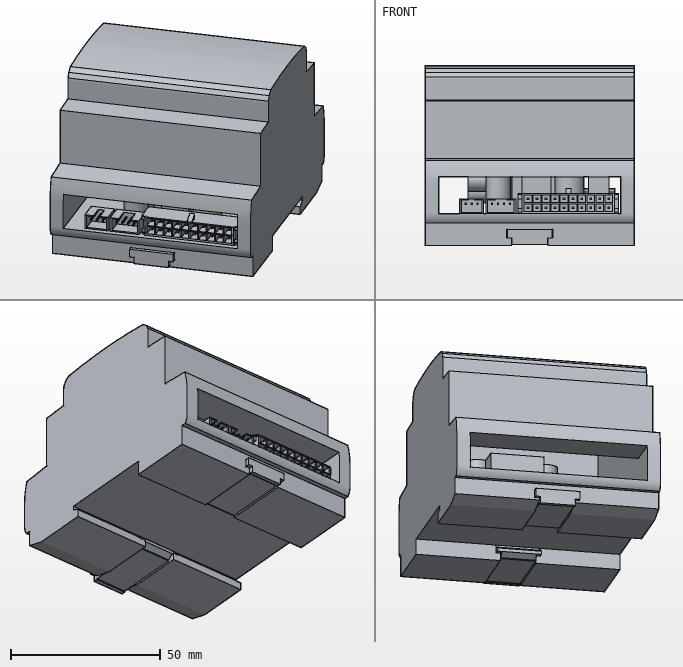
import cadquery as cq
import math

length = 70.1
half_depth = 43.5
height = 60.4

crest_edge = (19.6, 59.4)
shoulder_round_end = (21.6, 58.1)
shoulder_lift = 0.1
shoulder_facet_end = (22.5, 56.5)
top_half = 22.6
shoulder_low = 55.8
upper_step = (48.9, 48.5)
middle_half = 31.75
lower_step = (29.2, 28.45)
bulge_top_half = 42.3
bulge_tangent_top = 20.45
sill = 10.7
bulge_bottom = 7.6
bulge_bottom_half = 42.45
foot_half = 40.8

rail_floor = 5.4
rail_half = 17.4
hook_reach = 14.9
hook_low = 2.8
hook_high = 4.2
foot_chamfer_height = 1.8
foot_chamfer_depth = 6.4

window_half = 30.45
window_top = 23.05
wall = 1.7
roof_gap = 2.6

clip_wide = 15.1
clip_narrow = 12.0
clip_step = 2.6
clip_clearance = 0.1
grip_bottom = 0.35
slide_bottom = 0.7
grip_depth = 1.5
tip_reach = 15.5
tip_chamfer = 0.4
tip_low = 1.05

connector_front = -41.2
pin_connector_depth = 7.6
pin_cavity_depth = 5.65
pin_pitch = 2.0
pin_end_margin = 1.05
pin_connector_top = 15.7
pin_side_wall = 0.6
pin_thin_wall = 0.4
pin_size = 0.4
pin_height = 14.0
pin_inset = 0.2
three_pin_x = -19.5
four_pin_x = -9.7

block_x = 13.0
block_columns = 10
block_rows = 2
block_pitch = 1.5 * pin_pitch
block_width = 33.75
block_depth = 8.7
block_top = 17.4
block_row_center = 14.2
cell_size = 2.6
cell_depth = 6.1
block_pin_size = 0.6
block_pin_inset = 1.3
ear_width = 1.4
ear_bottom = 11.2
ear_top = 17.05
ear_setback = ear_width
ear_low_top = 12.35
ear_high_bottom = 15.7
ear_notch_depth = 3.05
latch_width = 1.7
latch_top = 19.05
latch_run = 3.5

component_top = 34.8
small_can_radius = 4.1
small_cans = [(-10.6, -24.4), (-10.0, -20.0)]
large_can_radius = 4.9
large_can = (13.3, -20.9)
coil_x = 2.3
coil_width = 9.6
coil_front = -21.75
core_width = 18.3
core_front = -19.1
core_back = -8.7

roll_radius = 3.5
roll_left = -20.7
roll_right = -10.4
upper_roll = (-10.4, 21.6)
lower_roll = (-7.0, 17.75)

relay_x = 23.1
relay_width = 7.0
relay_front = -13.9
relay_depth = 8.7
relay_base_width = 10.8
relay_lip_bottom = 18.0
relay_lip_top = 19.05
relay_lip_inset = 0.4
relay_base_inset = 0.9


def box(x_range, y_range, z_range):
    size = [high - low for low, high in (x_range, y_range, z_range)]
    corner = (x_range[0], y_range[0], z_range[0])
    return cq.Workplane("XY").box(*size, centered=False).translate(corner)


def around(center, width):
    return (center - width / 2, center + width / 2)


def arc_middle(tangent_point, end):
    """Middle point of an arc that leaves tangent_point upright and curves inward to end, in (Y, Z)."""
    across = abs(end[0] - tangent_point[0])
    along = end[1] - tangent_point[1]
    radius = (across**2 + along**2) / (2 * across)
    half_angle = math.atan2(abs(along), radius - across) / 2
    y = tangent_point[0] - radius * (1 - math.cos(half_angle))
    z = tangent_point[1] + math.copysign(radius * math.sin(half_angle), along)
    return (y, z)


def crest_middle(side):
    """Middle point of the shallow arc from the crest to the shoulder."""
    y = crest_edge[0] / 2
    z = height - (height - crest_edge[1]) / 4
    return (side * y, z)


def shoulder_middle(side):
    """A point just outside the chord of the rounded shoulder edge."""
    y = (crest_edge[0] + shoulder_round_end[0]) / 2 + shoulder_lift
    z = (crest_edge[1] + shoulder_round_end[1]) / 2 + shoulder_lift
    return (side * y, z)


def mirror_y(point):
    return (-point[0], point[1])


def housing_outline():
    """Closed (Y, Z) outline, counterclockwise from the foot on the +Y side."""
    bulge_high = (half_depth, bulge_tangent_top)
    bulge_low = (half_depth, sill)
    bulge_high_end = (bulge_top_half, lower_step[1])
    bulge_low_end = (bulge_bottom_half, bulge_bottom)
    high_middle = arc_middle(bulge_high, bulge_high_end)
    low_middle = arc_middle(bulge_low, bulge_low_end)
    return (
        cq.Workplane("YZ")
        .moveTo(foot_half - foot_chamfer_depth, 0)
        .lineTo(foot_half, foot_chamfer_height)
        .lineTo(foot_half, bulge_bottom)
        .lineTo(*bulge_low_end)
        .threePointArc(low_middle, bulge_low)
        .lineTo(*bulge_high)
        .threePointArc(high_middle, bulge_high_end)
        .lineTo(middle_half, lower_step[0])
        .lineTo(middle_half, upper_step[1])
        .lineTo(top_half, upper_step[0])
        .lineTo(top_half, shoulder_low)
        .lineTo(*shoulder_facet_end)
        .lineTo(*shoulder_round_end)
        .threePointArc(shoulder_middle(1), crest_edge)
        .threePointArc(crest_middle(1), (0, height))
        .threePointArc(crest_middle(-1), mirror_y(crest_edge))
        .threePointArc(shoulder_middle(-1), mirror_y(shoulder_round_end))
        .lineTo(*mirror_y(shoulder_facet_end))
        .lineTo(-top_half, shoulder_low)
        .lineTo(-top_half, upper_step[0])
        .lineTo(-middle_half, upper_step[1])
        .lineTo(-middle_half, lower_step[0])
        .lineTo(*mirror_y(bulge_high_end))
        .threePointArc(mirror_y(high_middle), mirror_y(bulge_high))
        .lineTo(*mirror_y(bulge_low))
        .threePointArc(mirror_y(low_middle), mirror_y(bulge_low_end))
        .lineTo(-foot_half, bulge_bottom)
        .lineTo(-foot_half, 0)
        .lineTo(-rail_half, 0)
        .lineTo(-rail_half, rail_floor)
        .lineTo(rail_half, rail_floor)
        .lineTo(rail_half, hook_high)
        .lineTo(hook_reach, hook_low)
        .lineTo(hook_reach, 0)
        .close()
    )


def clip_section(clearance, bottom):
    """T-shaped section of a clip, or of its channel, from the given bottom to the rail slot's ceiling."""
    wide = clip_wide + 2 * clearance
    narrow = clip_narrow + 2 * clearance
    y_range = (-half_depth, half_depth)
    head = box(around(0, wide), y_range, (clip_step, rail_floor))
    stem = box(around(0, narrow), y_range, (bottom, rail_floor))
    return head.union(stem)


def build_housing():
    body = housing_outline().extrude(length / 2, both=True)
    inner_x = (-window_half, window_half)
    window = box(inner_x, (-half_depth, half_depth), (sill, window_top))
    middle_y = around(0, 2 * (middle_half - wall))
    middle_room = box(inner_x, middle_y, (sill, upper_step[1] - roof_gap))
    top_y = around(0, 2 * (top_half - wall))
    top_room = box(inner_x, top_y, (sill, shoulder_low))
    body = body.cut(window).cut(middle_room).cut(top_room)
    return body.cut(clip_section(clip_clearance, 0))


def build_clip(side):
    """Rail clip sliding in the foot on the given side (-1 or 1) of the rail."""
    grip_y = foot_half + grip_depth
    profile = (
        cq.Workplane("YZ")
        .moveTo(grip_y, grip_bottom)
        .lineTo(grip_y, rail_floor)
        .lineTo(rail_half, rail_floor)
        .lineTo(rail_half, hook_high)
        .lineTo(tip_reach + tip_chamfer, hook_high)
        .lineTo(tip_reach, hook_high - tip_chamfer)
        .lineTo(tip_reach, clip_step)
        .lineTo(rail_half, tip_low)
        .lineTo(rail_half, slide_bottom)
        .lineTo(foot_half, slide_bottom)
        .lineTo(foot_half, grip_bottom)
        .close()
        .extrude(clip_wide / 2, both=True)
    )
    clip = profile.intersect(clip_section(0, grip_bottom))
    return clip if side > 0 else clip.mirror("XZ")


def build_pin_connector(center_x, pin_count):
    """Open-fronted header with one row of pins and a slot in its top wall."""
    width = pin_count * pin_pitch + 2 * pin_end_margin
    back = connector_front + pin_connector_depth
    cavity_back = connector_front + pin_cavity_depth
    cavity_y = (connector_front, cavity_back)
    cavity_x = around(center_x, width - 2 * pin_side_wall)
    cavity_z = (sill + pin_thin_wall, pin_connector_top - pin_thin_wall)
    slot_x = around(center_x, (pin_count - 2) * pin_pitch)
    slot_z = (pin_height, pin_connector_top)

    body = box(around(center_x, width), (connector_front, back), (sill, pin_connector_top))
    body = body.cut(box(cavity_x, cavity_y, cavity_z)).cut(box(slot_x, cavity_y, slot_z))
    for i in range(pin_count):
        x = center_x + (i - (pin_count - 1) / 2) * pin_pitch
        pin_y = (connector_front + pin_inset, back)
        body = body.union(box(around(x, pin_size), pin_y, around(pin_height, pin_size)))
    return body


def build_block_connector():
    """Two-row connector with a pin in each square cell and set-back ears between bevelled plates."""
    front = connector_front
    back = front + block_depth
    left, right = around(block_x, block_width)
    body = (
        cq.Workplane("XY")
        .moveTo(left, back)
        .lineTo(left, front + ear_width)
        .lineTo(left + ear_width, front)
        .lineTo(right - ear_width, front)
        .lineTo(right, front + ear_width)
        .lineTo(right, back)
        .close()
        .extrude(block_top - sill)
        .translate((0, 0, sill))
    )
    for ear_x in ((left, left + ear_width), (right - ear_width, right)):
        notch_y = (front, front + ear_notch_depth)
        body = body.cut(box(ear_x, notch_y, (ear_low_top, ear_high_bottom)))
        body = body.cut(box(ear_x, (front, front + ear_setback), (ear_bottom, ear_top)))

    cells = [
        (
            block_x + (column - (block_columns - 1) / 2) * block_pitch,
            block_row_center + (row - (block_rows - 1) / 2) * block_pitch,
        )
        for column in range(block_columns)
        for row in range(block_rows)
    ]
    for x, z in cells:
        body = body.cut(box(around(x, cell_size), (front, front + cell_depth), around(z, cell_size)))
    for x, z in cells:
        pin_y = (front + block_pin_inset, back)
        body = body.union(box(around(x, block_pin_size), pin_y, around(z, block_pin_size)))

    latch = (
        cq.Workplane("YZ")
        .moveTo(front, block_top)
        .lineTo(front + latch_run, latch_top)
        .lineTo(front + latch_run, block_top)
        .close()
        .extrude(latch_width / 2, both=True)
        .translate((block_x, 0, 0))
    )
    return body.union(latch)


def build_can(center, radius):
    return cq.Workplane("XY").circle(radius).extrude(component_top - sill).translate((*center, sill))


def build_power_stage():
    """Coil on a core, with the upright round cans joined to it."""
    tall = (sill, component_top)
    stage = box(around(coil_x, core_width), (core_front, core_back), tall)
    stage = stage.union(box(around(coil_x, coil_width), (coil_front, core_back), tall))
    for center in small_cans:
        stage = stage.union(build_can(center, small_can_radius))
    return stage.union(build_can(large_can, large_can_radius))


def build_roll_pair():
    """Two merged rolls lying along X, one in front of and above the other."""
    rolls = [
        cq.Workplane("YZ").center(*axis).circle(roll_radius).extrude(roll_right - roll_left)
        for axis in (upper_roll, lower_roll)
    ]
    return rolls[0].union(rolls[1]).translate((roll_left, 0, 0))


def build_relay():
    """Upright block in a wider base with a lip around its top."""
    back = relay_front + relay_depth
    block = box(around(relay_x, relay_width), (relay_front, back), (sill, component_top))
    base_x = around(relay_x, relay_base_width)
    lip_z = (relay_lip_bottom, relay_lip_top)
    lip = box(base_x, (relay_front + relay_lip_inset, back), lip_z)
    base = box(base_x, (relay_front + relay_base_inset, back), (sill, relay_lip_bottom))
    return block.union(lip).union(base)


housing = build_housing()
clips = [build_clip(side) for side in (-1, 1)]
three_pin_connector = build_pin_connector(three_pin_x, 3)
four_pin_connector = build_pin_connector(four_pin_x, 4)
block_connector = build_block_connector()
power_stage = build_power_stage()
roll_pair = build_roll_pair()
relay = build_relay()

result = cq.Compound.makeCompound(
    [
        housing.val(),
        *[clip.val() for clip in clips],
        three_pin_connector.val(),
        four_pin_connector.val(),
        block_connector.val(),
        power_stage.val(),
        roll_pair.val(),
        relay.val(),
    ]
)